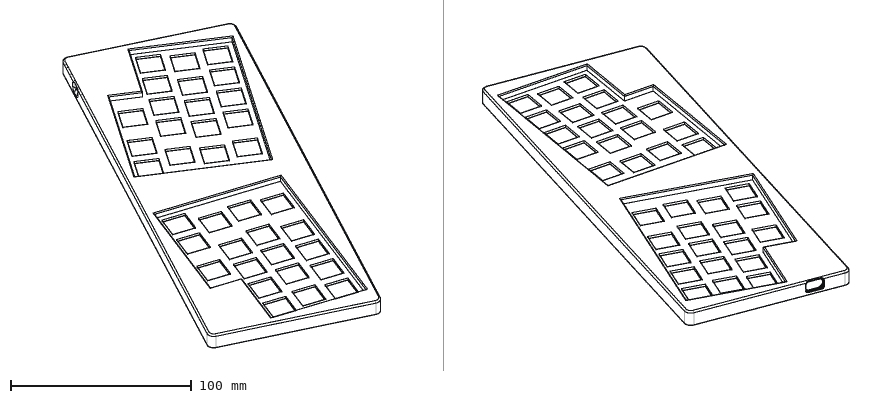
import cadquery as cq
import math

LENGTH = 260.5
WIDTH = 101.0
HEIGHT = 9.0
CORNER_RADIUS = 4.0
TOP_CHAMFER = 1.0

WALL = 3.0
PLATE_TOP = 5.5
PLATE_THICKNESS = 1.5
PLATE_BOTTOM = PLATE_TOP - PLATE_THICKNESS

KEY_PITCH = 19.0
SWITCH_SIZE = 14.0
TILT = 7.0
FIRST_KEY_X = -109.0
FIRST_KEY_Y = 34.0
KEY_ROWS = [
    [0, 1, 2, 3, 4.375],
    [0.125, 1.25, 2.25, 3.25, 4.5],
    [0, 1, 2, 3, 4.375],
    [2.375, 3.75, 4.75],
]

HALF_KEY = 0.5
BLOCK_LEFT = -HALF_KEY
BLOCK_RIGHT = 5.25
BLOCK_STEP = 1.5
WELL_CLEARANCE = 0.5
WELL_CHAMFER = 0.65
CHAMFER_ANGLE = 45

RECESS_LENGTH = 34.0
RECESS_WIDTH = 28.1
CABLE_WALL = 2.0
BUTTON_WALL = 1.0

CABLE_PORT_Y = -28.1
CABLE_PORT_Z = 5.0
CABLE_PORT_WIDTH = 11.2
CABLE_PORT_HEIGHT = 6.3
PLUG_RECESS_WIDTH = 11.5
PLUG_RECESS_HEIGHT = 6.8
PLUG_RECESS_RADIUS = 1.5
PLUG_RECESS_DEPTH = 1.0
RECESS_CEILING = CABLE_PORT_Z + CABLE_PORT_HEIGHT / 2

BUTTON_PORT_X = -105.0
BUTTON_PORT_Z = 5.5
BUTTON_SLOT_WIDTH = 3.0
BUTTON_SLOT_HEIGHT = 1.5
BUTTON_FLARE = 3.0


def case_block():
    block = cq.Workplane("XY").box(LENGTH, WIDTH, HEIGHT, centered=(True, True, False))
    return block.edges("|Z").fillet(CORNER_RADIUS).faces(">Z").edges().chamfer(TOP_CHAMFER)


def place_left(shape):
    """Move a shape from key-grid coordinates onto the tilted left half."""
    return shape.rotate((0, 0, 0), (0, 0, 1), -TILT).translate((FIRST_KEY_X, FIRST_KEY_Y, 0))


def key_well():
    left = BLOCK_LEFT * KEY_PITCH - WELL_CLEARANCE
    right = BLOCK_RIGHT * KEY_PITCH + WELL_CLEARANCE
    step_x = BLOCK_STEP * KEY_PITCH - WELL_CLEARANCE
    back = HALF_KEY * KEY_PITCH + WELL_CLEARANCE
    front = -(len(KEY_ROWS) - HALF_KEY) * KEY_PITCH - WELL_CLEARANCE
    step_y = front + KEY_PITCH
    outline = [
        (left, back),
        (right, back),
        (right, front),
        (step_x, front),
        (step_x, step_y),
        (left, step_y),
    ]
    floor = cq.Workplane("XY").workplane(offset=PLATE_TOP)
    well = floor.polyline(outline).close().extrude(HEIGHT - PLATE_TOP)
    rim = cq.Workplane("XY").workplane(offset=HEIGHT).polyline(outline).close()
    flare = rim.offset2D(WELL_CHAMFER, "intersection").extrude(-WELL_CHAMFER, taper=CHAMFER_ANGLE)
    return place_left(well.union(flare))


def switch_cutouts():
    centers = [
        (column * KEY_PITCH, -row * KEY_PITCH)
        for row, columns in enumerate(KEY_ROWS)
        for column in columns
    ]
    cutouts = cq.Workplane("XY").pushPoints(centers).rect(SWITCH_SIZE, SWITCH_SIZE).extrude(HEIGHT)
    return place_left(cutouts)


def underside_cavity():
    return cq.Workplane("XY").box(
        LENGTH - 2 * WALL, WIDTH - 2 * WALL, PLATE_BOTTOM, centered=(True, True, False)
    )


def controller_recess():
    recess = cq.Workplane("XY").box(RECESS_LENGTH, RECESS_WIDTH, RECESS_CEILING, centered=False)
    recess = recess.edges("|Z").edges("<(1, 1, 0)").fillet(CORNER_RADIUS)
    return recess.translate((CABLE_WALL - LENGTH / 2, BUTTON_WALL - WIDTH / 2, 0))


def cable_port():
    """A round-ended opening behind a shallow rounded recess for the plug."""
    outer_face = cq.Plane(
        origin=(-LENGTH / 2, CABLE_PORT_Y, CABLE_PORT_Z), xDir=(0, 1, 0), normal=(1, 0, 0)
    )
    opening = cq.Workplane(outer_face).slot2D(CABLE_PORT_WIDTH, CABLE_PORT_HEIGHT).extrude(CABLE_WALL)
    plug_recess = (
        cq.Workplane(outer_face)
        .rect(PLUG_RECESS_WIDTH, PLUG_RECESS_HEIGHT)
        .extrude(PLUG_RECESS_DEPTH)
        .edges("|X")
        .fillet(PLUG_RECESS_RADIUS)
    )
    return opening.union(plug_recess)


def button_port():
    """A small slot that flares outwards, with conical corners, to the front face."""
    flare_angle = math.degrees(math.atan2(BUTTON_FLARE, BUTTON_WALL))
    inner_face = cq.Plane(
        origin=(BUTTON_PORT_X, BUTTON_WALL - WIDTH / 2, BUTTON_PORT_Z),
        xDir=(1, 0, 0),
        normal=(0, -1, 0),
    )
    slot = cq.Workplane(inner_face).rect(BUTTON_SLOT_WIDTH, BUTTON_SLOT_HEIGHT)
    return slot.extrude(BUTTON_WALL, taper=-flare_angle)


left_half = key_well().union(switch_cutouts())
right_half = left_half.mirror("YZ")

result = (
    case_block()
    .cut(underside_cavity())
    .cut(left_half)
    .cut(right_half)
    .cut(controller_recess())
    .cut(cable_port())
    .cut(button_port())
)